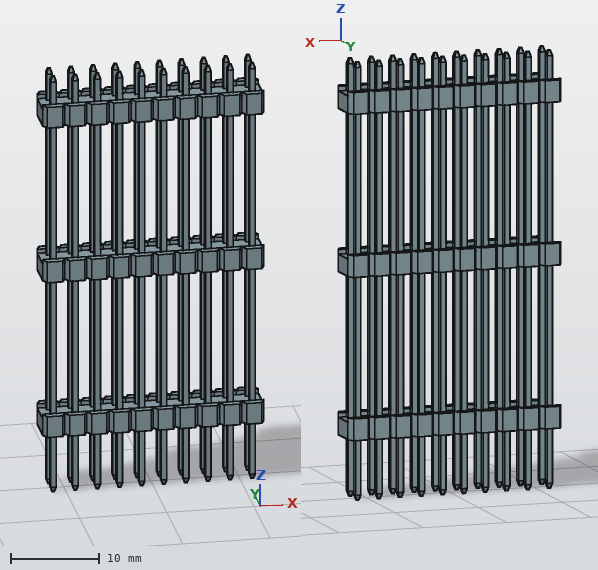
import cadquery as cq

columns = 10
body_length = 25.4
pitch = body_length / columns
row_count = 2
body_width = row_count * pitch

body_height = 2.5
notch_depth = 0.8
notch_half_width = 0.4
groove_width = 3.25
groove_depth = 0.5

pin_length = 50.25
pin_side = 0.65
tip_length = 0.6
tip_side = 0.25

lowest_body_base = 7.05
top_pin_projection = 3.25
highest_body_base = pin_length - top_pin_projection - body_height
middle_body_base = (lowest_body_base + highest_body_base) / 2
body_bases = [lowest_body_base, middle_body_base, highest_body_base]

column_centers = [(column - (columns - 1) / 2) * pitch for column in range(columns)]
row_centers = [(row - (row_count - 1) / 2) * pitch for row in range(row_count)]


def body_cell(center_x, base_z):
    """One pitch of a body: an octagonal prism with its corners cut by the notches."""
    half_pitch = pitch / 2
    half_flat = half_pitch - notch_half_width
    half_width = body_width / 2
    half_shoulder = half_width - notch_depth
    outline = [
        (half_pitch, -half_shoulder),
        (half_pitch, half_shoulder),
        (half_flat, half_width),
        (-half_flat, half_width),
        (-half_pitch, half_shoulder),
        (-half_pitch, -half_shoulder),
        (-half_flat, -half_width),
        (half_flat, -half_width),
    ]
    return (
        cq.Workplane("XY", origin=(center_x, 0, base_z))
        .polyline(outline)
        .close()
        .extrude(body_height)
    )


def insulator_body(base_z):
    """A row of joined cells with a shallow groove along the top."""
    body = body_cell(column_centers[0], base_z)
    for center_x in column_centers[1:]:
        body = body.union(body_cell(center_x, base_z))
    groove_floor = base_z + body_height - groove_depth
    groove = (
        cq.Workplane("XY", origin=(0, 0, groove_floor))
        .rect(body_length, groove_width)
        .extrude(groove_depth)
    )
    return body.cut(groove)


def pin_tip(base_z, direction):
    """A pyramidal pin end, narrowing upward (1) or downward (-1) from base_z."""
    return (
        cq.Workplane("XY", origin=(0, 0, base_z))
        .rect(pin_side, pin_side)
        .workplane(offset=direction * tip_length)
        .rect(tip_side, tip_side)
        .loft()
    )


def square_pin():
    """A full-length square pin centered on the Z axis."""
    shank_length = pin_length - 2 * tip_length
    shank = (
        cq.Workplane("XY", origin=(0, 0, tip_length))
        .rect(pin_side, pin_side)
        .extrude(shank_length)
    )
    lower_tip = pin_tip(tip_length, -1)
    upper_tip = pin_tip(pin_length - tip_length, 1)
    return shank.union(lower_tip).union(upper_tip)


bodies = cq.Workplane("XY")
for body_base in body_bases:
    bodies = bodies.add(insulator_body(body_base))

pin = square_pin()
pins = cq.Workplane("XY")
for row_y in row_centers:
    for column_x in column_centers:
        pins = pins.add(pin.translate((column_x, row_y, 0)))

result = bodies.combine().union(pins.combine())